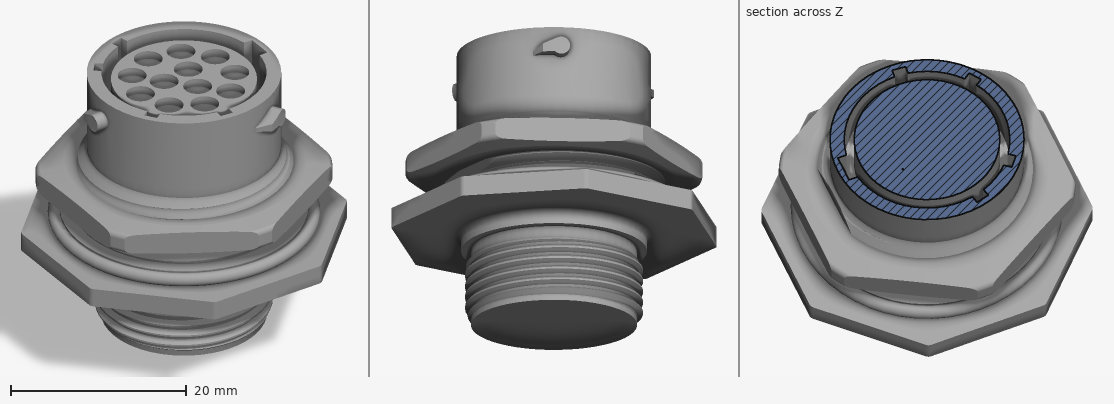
import cadquery as cq
import math

TOTAL_HEIGHT = 32.0
NECK_TOP = 8.8
FLANGE_BOTTOM = 10.45
FLANGE_TOP = 12.75
COLLAR_TOP = 14.2
NUT_BOTTOM = 17.0
NUT_TOP = 20.07
SHOULDER_TOP = 22.05

FLANGE_WIDTH = 34.9
FLANGE_CORNER_RADIUS = 0.77

REAR_COLLAR_RADIUS = 10.57
REAR_COLLAR_FILLET = 0.65
NECK_RADIUS = 9.45

REAR_CREST_RADIUS = 10.12
REAR_ROOT_RADIUS = 9.5
REAR_PITCH = 1.27
REAR_THREAD_BOTTOM = 0.7
REAR_THREAD_TOP = 7.55
REAR_CREST_FLAT = 0.2
REAR_ROOT_FLAT = 0.3
REAR_GROOVE_START_ANGLE = 200
REAR_GROOVE_START = -0.63

PANEL_CREST_RADIUS = 12.65
PANEL_ROOT_RADIUS = 11.5
PANEL_PITCH = 1.41
PANEL_CREST_FLAT = 0.07
PANEL_ROOT_FLAT = 0.05
PANEL_GROOVE_START_ANGLE = 192.6
PANEL_GROOVE_START = 14.7
PANEL_FLAT_Y = 11.38
SHOULDER_BASE = 20.17

RING_SECTION_RADIUS = 0.77
RING_OUTER_RADIUS = 15.5
SEAT_COLLAR_RADIUS = 14.17

NUT_ACROSS_FLATS = 30.12
NUT_CORNER_RADIUS = 16.9
NUT_FACE_RADIUS = 13.82
NUT_CONE_RADIUS = 16.45
NUT_CONE_DROP = 0.3
NUT_ROUND_DROP = 0.95

SHELL_RADIUS = 11.05
BORE_RADIUS = 9.4
BORE_FLOOR = SHOULDER_TOP
INSERT_RADIUS = 8.3
INSERT_RECESS = 0.85
CAVITY_RADIUS = 1.65
CAVITY_DEPTH = 1.0
OUTER_CAVITY_COUNT = 9
OUTER_CAVITY_CIRCLE = 5.95
OUTER_CAVITY_ANGLE = 270
INNER_CAVITY_CENTRES = ((2.25, 0.4), (-1.45, 1.55), (-0.77, -2.2))

KEYWAY_REACH = 10.3
MASTER_KEYWAY_WIDTH = 3.2
MASTER_KEYWAY_ANGLE = 90
MINOR_KEYWAY_WIDTH = 1.57
MINOR_KEYWAY_ANGLES = (195, 230, 305, 355)

PIN_ANGLES = (30, 150, 270)
PIN_RADIUS = 1.0
PIN_HEIGHT = 29.42
PIN_TIP_RADIUS = 12.45
PIN_ROOT_RADIUS = 10.12
TAIL_LENGTH = 3.1
TAIL_OUTER_LENGTH = 2.05
TAIL_DROP = 0.75
TAIL_TIP_DROP = 0.25


def cylinder(radius, bottom, top):
    return cq.Workplane("XY").workplane(offset=bottom).circle(radius).extrude(top - bottom)


def revolved(half_profile):
    return half_profile.close().revolve(360, (0, 0, 0), (0, 1, 0))


def helical_groove(crest_radius, root_radius, crest_flat, root_flat, pitch, start, top, angle):
    """Right-handed V-groove cutter whose root begins at height start on the given bearing."""
    root = root_flat / 2
    crest = (pitch - crest_flat) / 2
    mouth = crest + crest_flat / 4
    mouth_radius = crest_radius + (mouth - crest) * (crest_radius - root_radius) / (crest - root)
    path = cq.Workplane(obj=cq.Wire.makeHelix(pitch, top - start, root_radius))
    groove = (
        cq.Workplane("XZ")
        .moveTo(root_radius, -root)
        .lineTo(mouth_radius, -mouth)
        .lineTo(mouth_radius, mouth)
        .lineTo(root_radius, root)
        .close()
        .sweep(path, isFrenet=True)
    )
    return groove.rotate((0, 0, 0), (0, 0, 1), angle).translate((0, 0, start))


def rear_thread():
    depth = REAR_CREST_RADIUS - NECK_RADIUS
    blank = revolved(
        cq.Workplane("XZ")
        .moveTo(0, REAR_THREAD_BOTTOM)
        .lineTo(NECK_RADIUS, REAR_THREAD_BOTTOM)
        .lineTo(REAR_CREST_RADIUS, REAR_THREAD_BOTTOM + depth)
        .lineTo(REAR_CREST_RADIUS, REAR_THREAD_TOP - depth)
        .lineTo(NECK_RADIUS, REAR_THREAD_TOP)
        .lineTo(0, REAR_THREAD_TOP)
    )
    groove = helical_groove(
        REAR_CREST_RADIUS, REAR_ROOT_RADIUS, REAR_CREST_FLAT, REAR_ROOT_FLAT, REAR_PITCH,
        REAR_GROOVE_START, REAR_THREAD_TOP + REAR_PITCH, REAR_GROOVE_START_ANGLE,
    )
    bar = cylinder(
        REAR_CREST_RADIUS, REAR_GROOVE_START - REAR_PITCH, REAR_THREAD_TOP + 2 * REAR_PITCH
    )
    return bar.cut(groove).intersect(blank)


def rear_spigot():
    neck = cylinder(NECK_RADIUS, 0, FLANGE_BOTTOM)
    collar = revolved(
        cq.Workplane("XZ")
        .moveTo(0, NECK_TOP)
        .lineTo(REAR_COLLAR_RADIUS, NECK_TOP)
        .lineTo(REAR_COLLAR_RADIUS, FLANGE_BOTTOM - REAR_COLLAR_FILLET)
        .radiusArc((REAR_COLLAR_RADIUS + REAR_COLLAR_FILLET, FLANGE_BOTTOM), REAR_COLLAR_FILLET)
        .lineTo(0, FLANGE_BOTTOM)
    )
    return neck.union(collar)


def flange():
    across_corners = FLANGE_WIDTH / math.cos(math.pi / 8)
    return (
        cq.Workplane("XY")
        .workplane(offset=FLANGE_BOTTOM)
        .polygon(8, across_corners)
        .extrude(FLANGE_TOP - FLANGE_BOTTOM)
        .rotate((0, 0, 0), (0, 0, 1), 22.5)
        .edges("|Z")
        .fillet(FLANGE_CORNER_RADIUS)
    )


def sealing_ring():
    ring_radius = RING_OUTER_RADIUS - RING_SECTION_RADIUS
    ring = (
        cq.Workplane("XZ")
        .center(-ring_radius, COLLAR_TOP - RING_SECTION_RADIUS)
        .circle(RING_SECTION_RADIUS)
        .revolve(360, (ring_radius, 0), (ring_radius, 1))
    )
    return cylinder(SEAT_COLLAR_RADIUS, FLANGE_TOP, COLLAR_TOP).union(ring)


def panel_thread():
    blank = revolved(
        cq.Workplane("XZ")
        .moveTo(0, FLANGE_TOP)
        .lineTo(PANEL_CREST_RADIUS, FLANGE_TOP)
        .lineTo(PANEL_CREST_RADIUS, SHOULDER_BASE)
        .lineTo(SHELL_RADIUS, SHOULDER_TOP)
        .lineTo(0, SHOULDER_TOP)
    )
    groove = helical_groove(
        PANEL_CREST_RADIUS, PANEL_ROOT_RADIUS, PANEL_CREST_FLAT, PANEL_ROOT_FLAT, PANEL_PITCH,
        PANEL_GROOVE_START, SHOULDER_TOP + PANEL_PITCH / 2, PANEL_GROOVE_START_ANGLE,
    )
    beyond_flat = (
        cq.Workplane("XY")
        .workplane(offset=FLANGE_TOP)
        .center(0, PANEL_FLAT_Y + PANEL_CREST_RADIUS)
        .rect(2 * PANEL_CREST_RADIUS, 2 * PANEL_CREST_RADIUS)
        .extrude(SHOULDER_TOP - FLANGE_TOP)
    )
    return blank.cut(groove).cut(beyond_flat)


def hexagon_nut():
    hexagon = (
        cq.Workplane("XY")
        .workplane(offset=NUT_BOTTOM)
        .polygon(6, NUT_ACROSS_FLATS / math.cos(math.pi / 6))
        .extrude(NUT_TOP - NUT_BOTTOM)
    )
    round_radius = NUT_ROUND_DROP - NUT_CONE_DROP
    turned = revolved(
        cq.Workplane("XZ")
        .moveTo(0, NUT_BOTTOM)
        .lineTo(NUT_FACE_RADIUS, NUT_BOTTOM)
        .lineTo(NUT_CONE_RADIUS, NUT_BOTTOM + NUT_CONE_DROP)
        .radiusArc((NUT_CORNER_RADIUS, NUT_BOTTOM + NUT_ROUND_DROP), -round_radius)
        .lineTo(NUT_CORNER_RADIUS, NUT_TOP - NUT_ROUND_DROP)
        .radiusArc((NUT_CONE_RADIUS, NUT_TOP - NUT_CONE_DROP), -round_radius)
        .lineTo(NUT_FACE_RADIUS, NUT_TOP)
        .lineTo(0, NUT_TOP)
    )
    return hexagon.intersect(turned)


def keyway(width, angle):
    slot = (
        cq.Workplane("XY")
        .workplane(offset=BORE_FLOOR)
        .center(KEYWAY_REACH / 2, 0)
        .rect(KEYWAY_REACH, width)
        .extrude(TOTAL_HEIGHT - BORE_FLOOR)
    )
    return slot.rotate((0, 0, 0), (0, 0, 1), angle)


def front_shell():
    shell = cylinder(SHELL_RADIUS, SHOULDER_TOP, TOTAL_HEIGHT)
    shell = shell.cut(cylinder(BORE_RADIUS, BORE_FLOOR, TOTAL_HEIGHT))
    shell = shell.cut(keyway(MASTER_KEYWAY_WIDTH, MASTER_KEYWAY_ANGLE))
    for angle in MINOR_KEYWAY_ANGLES:
        shell = shell.cut(keyway(MINOR_KEYWAY_WIDTH, angle))
    return shell


def contact_insert():
    return (
        cylinder(INSERT_RADIUS, BORE_FLOOR, TOTAL_HEIGHT - INSERT_RECESS)
        .faces(">Z")
        .workplane(origin=(0, 0, 0))
        .polarArray(OUTER_CAVITY_CIRCLE, OUTER_CAVITY_ANGLE, 360, OUTER_CAVITY_COUNT)
        .circle(CAVITY_RADIUS)
        .cutBlind(-CAVITY_DEPTH)
        .faces(">Z")
        .workplane(origin=(0, 0, 0))
        .pushPoints(INNER_CAVITY_CENTRES)
        .circle(CAVITY_RADIUS)
        .cutBlind(-CAVITY_DEPTH)
    )


def bayonet_pin(angle):
    """Round pin with a wedge-shaped tail trailing clockwise, modelled at -Y and then turned."""
    radial = cq.Workplane("XZ", origin=(0, -PIN_ROOT_RADIUS, PIN_HEIGHT))
    length = PIN_TIP_RADIUS - PIN_ROOT_RADIUS
    pin = radial.circle(PIN_RADIUS).extrude(length)

    tip_distance = math.hypot(TAIL_LENGTH, TAIL_TIP_DROP)
    tip_bearing = math.pi + math.atan2(TAIL_TIP_DROP, TAIL_LENGTH)
    tangent_bearing = tip_bearing - math.acos(PIN_RADIUS / tip_distance)
    tangent_point = (PIN_RADIUS * math.cos(tangent_bearing), PIN_RADIUS * math.sin(tangent_bearing))
    tail = (
        radial.moveTo(-TAIL_LENGTH, -TAIL_DROP)
        .lineTo(-TAIL_LENGTH, -TAIL_TIP_DROP)
        .lineTo(*tangent_point)
        .lineTo(0, 0)
        .lineTo(0, -TAIL_DROP)
        .close()
        .extrude(length)
    )
    shell_y = -math.sqrt(SHELL_RADIUS ** 2 - TAIL_LENGTH ** 2)
    tip_y = -math.sqrt(PIN_TIP_RADIUS ** 2 - TAIL_OUTER_LENGTH ** 2)
    ramp = (
        cq.Workplane("XY")
        .workplane(offset=PIN_HEIGHT - PIN_RADIUS)
        .moveTo(0, shell_y)
        .lineTo(-TAIL_LENGTH, shell_y)
        .lineTo(-TAIL_OUTER_LENGTH, tip_y)
        .lineTo(0, -PIN_TIP_RADIUS - 0.35)
        .close()
        .extrude(2 * PIN_RADIUS)
    )
    envelope = cylinder(PIN_TIP_RADIUS, PIN_HEIGHT - PIN_RADIUS, PIN_HEIGHT + PIN_RADIUS)
    whole = pin.union(tail.intersect(ramp)).intersect(envelope)
    return whole.rotate((0, 0, 0), (0, 0, 1), angle - 270)


result = (
    rear_spigot()
    .union(rear_thread())
    .union(flange())
    .union(sealing_ring())
    .union(panel_thread())
    .union(hexagon_nut())
    .union(front_shell())
    .union(contact_insert())
)
for pin_angle in PIN_ANGLES:
    result = result.union(bayonet_pin(pin_angle))